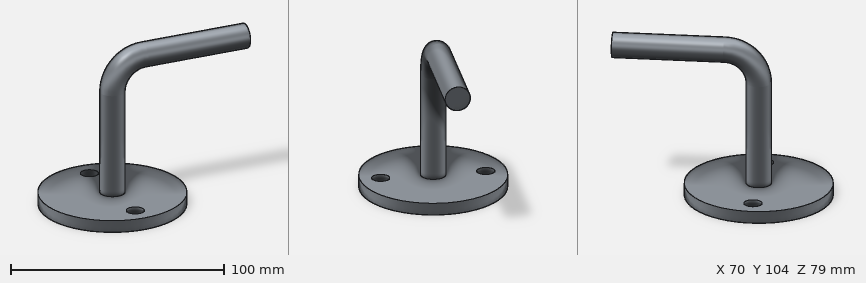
import cadquery as cq

plate_diameter = 70.0
plate_thickness = 6.0

hole_diameter = 8.5
hole_spacing = 50.0

rod_diameter = 12.0
bend_radius = 16.0
overall_height = 79.0
overall_depth = 104.0

arm_height = overall_height - rod_diameter / 2
arm_reach = overall_depth - plate_diameter / 2


def make_plate():
    """Disc with two through holes."""
    return (
        cq.Workplane("XY")
        .circle(plate_diameter / 2)
        .extrude(plate_thickness)
        .faces(">Z")
        .workplane()
        .rarray(hole_spacing, 1, 2, 1)
        .hole(hole_diameter)
    )


def make_rod():
    """Round bar swept up, around a quarter bend and out along +Y."""
    centreline = (
        cq.Workplane("YZ")
        .moveTo(0, plate_thickness)
        .lineTo(0, arm_height - bend_radius)
        .radiusArc((bend_radius, arm_height), bend_radius)
        .lineTo(arm_reach, arm_height)
    )
    return (
        cq.Workplane("XY", origin=(0, 0, plate_thickness))
        .circle(rod_diameter / 2)
        .sweep(centreline)
    )


result = make_plate().union(make_rod())